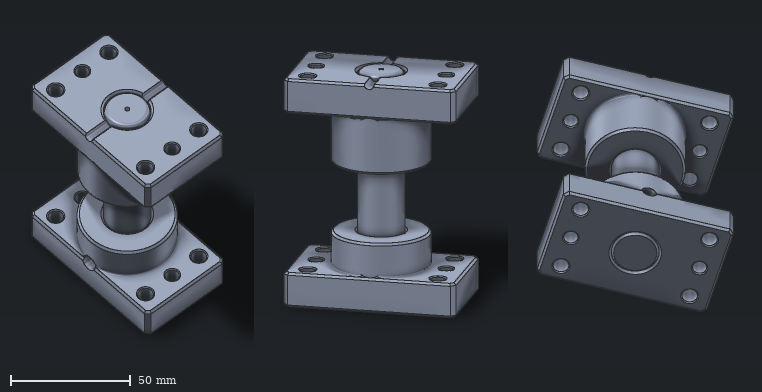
import cadquery as cq
import math

total_height = 100.0
plate_length = 74.0
plate_width = 44.0
plate_thickness = 15.0
corner_chamfer = 2.0
edge_chamfer = 1.0

boss_radius = plate_width / 2 - edge_chamfer
boss_chamfer = 1.0
boss_fillet = 1.0
foot_taper_angle = 18.0
lower_boss_height = 15.0
upper_boss_height = 24.5

pin_diameter = 20.0
pin_radius = pin_diameter / 2
pin_protrusion = 0.5
pin_tip_radius = 9.5
pin_tip_fillet = 2.0
pin_lead_in = 2.0
pin_bottom_chamfer = 1.0
bore_chamfer = 1.0
center_hole_diameter = 2.0
center_hole_depth = 1.7

cross_hole_diameter = 6.8
neck_radius = 8.7
neck_shoulder = pin_radius - neck_radius
neck_floor_height = 5.4
neck_center_z = plate_thickness

hole_pitch_x = 56.0
hole_pitch_y = 30.0
screw_hole_diameter = 6.6
dowel_hole_diameter = 6.0
hole_chamfer = 0.5

groove_radius = 2.1

upper_face_z = total_height - pin_protrusion


def arc_middle_inset(radius):
    """Distance from a quarter-round's middle to each of the two faces it joins."""
    return radius * (1 - math.sqrt(0.5))


def plate_blank():
    """Rectangular plate with chamfered corners, resting on z = 0."""
    return (
        cq.Workplane("XY")
        .rect(plate_length, plate_width)
        .extrude(plate_thickness)
        .edges("|Z")
        .chamfer(corner_chamfer)
        .faces("<Z or >Z")
        .chamfer(edge_chamfer)
    )


def boss(height):
    """Boss on the plate, with a chamfered top rim and a filleted foot that narrows to the plate's flat face."""
    top_z = plate_thickness + height
    fillet_middle = arc_middle_inset(boss_fillet)
    body = (
        cq.Workplane("XZ")
        .moveTo(0, plate_thickness)
        .lineTo(boss_radius, plate_thickness)
        .lineTo(boss_radius, top_z - boss_chamfer)
        .lineTo(boss_radius - boss_chamfer, top_z)
        .lineTo(0, top_z)
        .close()
        .revolve(360, (0, 0), (0, 1))
    )
    foot = (
        cq.Workplane("XZ")
        .moveTo(0, plate_thickness)
        .lineTo(boss_radius + boss_fillet, plate_thickness)
        .threePointArc(
            (boss_radius + fillet_middle, plate_thickness + fillet_middle),
            (boss_radius, plate_thickness + boss_fillet),
        )
        .lineTo(0, plate_thickness + boss_fillet)
        .close()
        .revolve(360, (0, 0), (0, 1))
    )
    foot_limit = (
        cq.Workplane("XY", origin=(0, 0, plate_thickness))
        .rect(plate_length - 2 * edge_chamfer, plate_width - 2 * edge_chamfer)
        .extrude(boss_fillet, taper=foot_taper_angle)
    )
    return body.union(foot.intersect(foot_limit))


def through_hole(diameter, chamfer, height):
    """Cutter for a hole from z = 0 to the given height, chamfered at both ends."""
    radius = diameter / 2
    return (
        cq.Workplane("XZ")
        .polyline([
            (0, 0),
            (radius + chamfer, 0),
            (radius, chamfer),
            (radius, height - chamfer),
            (radius + chamfer, height),
            (0, height),
        ])
        .close()
        .revolve(360, (0, 0), (0, 1))
    )


def bushing(boss_height):
    """Plate with its boss, the full-depth pin bore and the six mounting holes."""
    body = plate_blank().union(boss(boss_height))
    body = body.cut(through_hole(pin_diameter, bore_chamfer, plate_thickness + boss_height))
    for side in (-1, 1):
        for row in (-1, 0, 1):
            diameter = dowel_hole_diameter if row == 0 else screw_hole_diameter
            hole = through_hole(diameter, hole_chamfer, plate_thickness)
            body = body.cut(hole.translate((side * hole_pitch_x / 2, row * hole_pitch_y / 2, 0)))
    return body


def make_lower_bushing():
    """Lower bushing with the cross hole from its -Y side into the bore."""
    cross_hole = (
        cq.Workplane("XZ")
        .center(0, neck_center_z)
        .circle(cross_hole_diameter / 2)
        .extrude(plate_width)
    )
    return bushing(lower_boss_height).cut(cross_hole)


def make_upper_bushing():
    """Upper bushing, turned over so its boss hangs down, with a groove across its top face."""
    body = bushing(upper_boss_height).rotate((0, 0, 0), (1, 0, 0), 180).translate((0, 0, upper_face_z))
    groove = (
        cq.Workplane("XZ")
        .center(0, upper_face_z)
        .transformed(rotate=(0, 0, 90))
        .circle(groove_radius)
        .extrude(plate_width / 2, both=True)
    )
    return body.cut(groove)


def make_guide_pin():
    """Pin with a rounded, slightly tapered tip, a necked locking groove and a small conical center hole."""
    neck_bottom_z = neck_center_z - neck_floor_height / 2
    neck_top_z = neck_center_z + neck_floor_height / 2
    tip_wall_z = total_height - pin_tip_fillet
    fillet_middle = arc_middle_inset(pin_tip_fillet)
    return (
        cq.Workplane("XZ")
        .moveTo(0, 0)
        .lineTo(pin_radius - pin_bottom_chamfer, 0)
        .lineTo(pin_radius, pin_bottom_chamfer)
        .lineTo(pin_radius, neck_bottom_z - neck_shoulder)
        .lineTo(neck_radius, neck_bottom_z)
        .lineTo(neck_radius, neck_top_z)
        .lineTo(pin_radius, neck_top_z + neck_shoulder)
        .lineTo(pin_radius, tip_wall_z - pin_lead_in)
        .lineTo(pin_tip_radius, tip_wall_z)
        .threePointArc(
            (pin_tip_radius - fillet_middle, total_height - fillet_middle),
            (pin_tip_radius - pin_tip_fillet, total_height),
        )
        .lineTo(center_hole_diameter / 2, total_height)
        .lineTo(0, total_height - center_hole_depth)
        .close()
        .revolve(360, (0, 0), (0, 1))
    )


lower_bushing = make_lower_bushing()
upper_bushing = make_upper_bushing()
guide_pin = make_guide_pin()

result = cq.Compound.makeCompound([
    lower_bushing.solids().val(),
    upper_bushing.solids().val(),
    guide_pin.solids().val(),
])